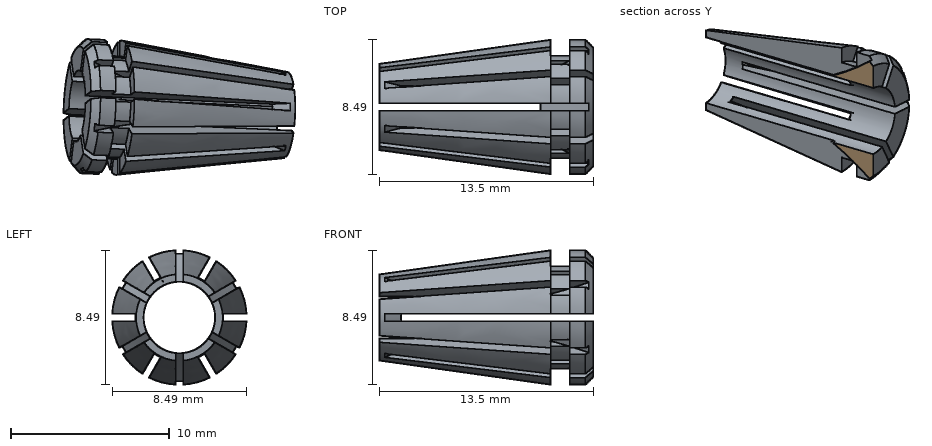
import cadquery as cq
import math


total_length = 13.5
cone_length = 10.8
groove_width = 1.2
head_chamfer = 0.5

max_diameter = 8.5
groove_diameter = 6.5
bore_diameter = 4.5
cone_half_angle = 8.0

slot_count_per_set = 6
slot_width = 0.47
saw_radius = 20.0
saw_center_height = 20.35
nose_slot_saw_x = 1.66
head_slot_saw_x = 9.88
cut_margin = 1.0

max_radius = max_diameter / 2
groove_radius = groove_diameter / 2
bore_radius = bore_diameter / 2
nose_radius = max_radius - cone_length * math.tan(math.radians(cone_half_angle))
head_start = cone_length + groove_width
slot_pitch = 360 / slot_count_per_set


def make_body():
    """Revolve the half section: cone, nut groove and chamfered head around the bore."""
    return (
        cq.Workplane("XY")
        .moveTo(0, bore_radius)
        .lineTo(0, nose_radius)
        .lineTo(cone_length, max_radius)
        .lineTo(cone_length, groove_radius)
        .lineTo(head_start, groove_radius)
        .lineTo(head_start, max_radius)
        .lineTo(total_length - head_chamfer, max_radius)
        .lineTo(total_length, max_radius - head_chamfer)
        .lineTo(total_length, bore_radius)
        .close()
        .revolve(360, (0, 0, 0), (1, 0, 0))
    )


def saw_point(saw_x, height, direction):
    """Point on the saw rim at a radial height, on the +X (1) or -X (-1) side of its axis."""
    reach = math.sqrt(saw_radius**2 - (saw_center_height - height) ** 2)
    return (saw_x + direction * reach, height)


def slot_cutter(open_x, saw_x, direction):
    """Cutter on the +Z side, from open_x to the curved wall left by the saw."""
    floor_height = saw_center_height - saw_radius
    top_height = max_radius + cut_margin
    middle_height = (floor_height + top_height) / 2
    return (
        cq.Workplane("XZ")
        .moveTo(open_x, top_height)
        .lineTo(open_x, floor_height)
        .lineTo(saw_x, floor_height)
        .threePointArc(
            saw_point(saw_x, middle_height, direction),
            saw_point(saw_x, top_height, direction),
        )
        .close()
        .extrude(slot_width / 2, both=True)
    )


def cut_slot_set(body, cutter, start_angle):
    """Cut one set of equally spaced slots around the X axis."""
    for index in range(slot_count_per_set):
        angle = start_angle + index * slot_pitch
        body = body.cut(cutter.rotate((0, 0, 0), (1, 0, 0), angle))
    return body


nose_slot = slot_cutter(-cut_margin, nose_slot_saw_x, 1)
head_slot = slot_cutter(total_length + cut_margin, head_slot_saw_x, -1)

result = make_body()
result = cut_slot_set(result, nose_slot, 0)
result = cut_slot_set(result, head_slot, slot_pitch / 2)